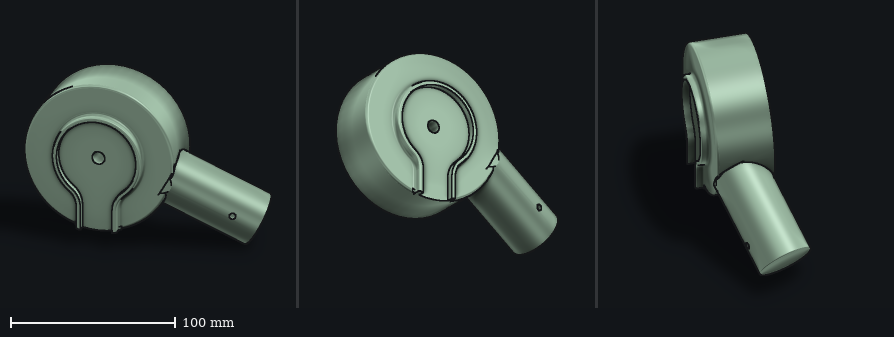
import cadquery as cq
import math

disc_radius = 47.5
disc_depth = 36.5
front_fillet = 2.0
bore_radius = 4.0

rim_height = 5.0
rim_thickness = 2.8
rim_outer_radius = 28.0
leg_outer_half_width = 12.9
neck_radius = 12.0
rim_base_fillet = 2.0
rim_top_fillet = 1.0

handle_radius = 17.5
handle_length = 64.0
handle_yaw = 17.7
handle_pitch = 28.9
handle_end = cq.Vector(91.6, 32.8, -42.0)
handle_end_fillet = 0.6
pin_hole_radius = 2.0
pin_hole_from_end = 18.1

plate_size = 4 * disc_radius
leg_reach = 1.5 * disc_radius

yaw = math.radians(handle_yaw)
pitch = math.radians(handle_pitch)
handle_axis = cq.Vector(
    math.cos(pitch) * math.cos(yaw),
    math.cos(pitch) * math.sin(yaw),
    -math.sin(pitch),
)
pin_hole_axis = cq.Vector(-math.sin(yaw), math.cos(yaw), 0)


def cylinder_along_y(radius, start, depth):
    """Cylinder on the disc axis, from y = start toward +Y."""
    return cq.Workplane(cq.Solid.makeCylinder(radius, depth, cq.Vector(0, start, 0), cq.Vector(0, 1, 0)))


def keyhole_prism(inset, front, back):
    """Keyhole outline moved inward by inset, filled from y = front to y = back."""
    radius = rim_outer_radius - inset
    half_width = leg_outer_half_width - inset
    neck = neck_radius + inset
    neck_x = half_width + neck
    neck_z = -math.sqrt((radius + neck) ** 2 - neck_x**2)
    tangent_x = neck_x * radius / (radius + neck)
    tangent_z = neck_z * radius / (radius + neck)
    mid_angle = (math.pi + math.atan2(tangent_z - neck_z, tangent_x - neck_x)) / 2
    mid_x = neck_x + neck * math.cos(mid_angle)
    mid_z = neck_z + neck * math.sin(mid_angle)
    return (
        cq.Workplane("XZ", origin=(0, back, 0))
        .moveTo(half_width, -leg_reach)
        .lineTo(half_width, neck_z)
        .threePointArc((mid_x, mid_z), (tangent_x, tangent_z))
        .threePointArc((0, radius), (-tangent_x, tangent_z))
        .threePointArc((-mid_x, mid_z), (-half_width, neck_z))
        .lineTo(-half_width, -leg_reach)
        .close()
        .extrude(back - front)
    )


def rimmed_plate():
    """Oversized plate carrying the rim with its rounded crest and base."""
    plate = cq.Workplane("XY").box(plate_size, disc_depth, plate_size).translate((0, disc_depth / 2, 0))
    raised = keyhole_prism(0, -rim_height, 0).faces("<Y").edges("not <Z").fillet(rim_top_fillet)
    base_box = cq.selectors.BoxSelector(
        (-plate_size, -rim_base_fillet / 2, 1.5 - leg_reach),
        (plate_size, rim_base_fillet / 2, rim_outer_radius + 1.5),
    )
    plate = plate.union(raised).edges(base_box).edges("not <Z").fillet(rim_base_fillet)
    return plate.cut(keyhole_prism(rim_thickness, -rim_height, 0))


def housing_envelope():
    """Disc with a rounded front edge, left square where the rim legs and channel run out."""
    disc = cylinder_along_y(disc_radius, 0, disc_depth).faces("<Y").edges().fillet(front_fillet)
    square_edge = keyhole_prism(0, 0, 2 * front_fillet).intersect(
        cylinder_along_y(disc_radius, 0, disc_depth)
    )
    rim_space = cylinder_along_y(disc_radius, -rim_height, rim_height)
    return disc.union(square_edge).union(rim_space)


def make_handle():
    """Solid round handle, cut flush with the front face, with a cross hole near its end."""
    start = handle_end - handle_axis * handle_length
    handle = cq.Workplane(cq.Plane(origin=start.toTuple(), xDir=pin_hole_axis, normal=handle_axis))
    handle = handle.circle(handle_radius).extrude(handle_length)
    handle = handle.faces(cq.selectors.DirectionMinMaxSelector(handle_axis)).edges().fillet(handle_end_fillet)
    hole_center = handle_end - handle_axis * pin_hole_from_end
    hole_start = hole_center - pin_hole_axis * (2 * handle_radius)
    hole = cq.Solid.makeCylinder(pin_hole_radius, 4 * handle_radius, hole_start, pin_hole_axis)
    ahead_of_face = cq.Workplane("XZ").rect(plate_size, plate_size).extrude(disc_depth)
    return handle.cut(cq.Workplane(hole)).cut(ahead_of_face)


def make_housing(handle):
    """Disc with rim and bore, and a seat that matches the handle."""
    body = rimmed_plate().intersect(housing_envelope())
    body = body.cut(cylinder_along_y(bore_radius, -rim_height, rim_height + disc_depth))
    return body.cut(handle)


handle = make_handle()
housing = make_housing(handle)
result = cq.Compound.makeCompound([housing.val(), handle.val()])